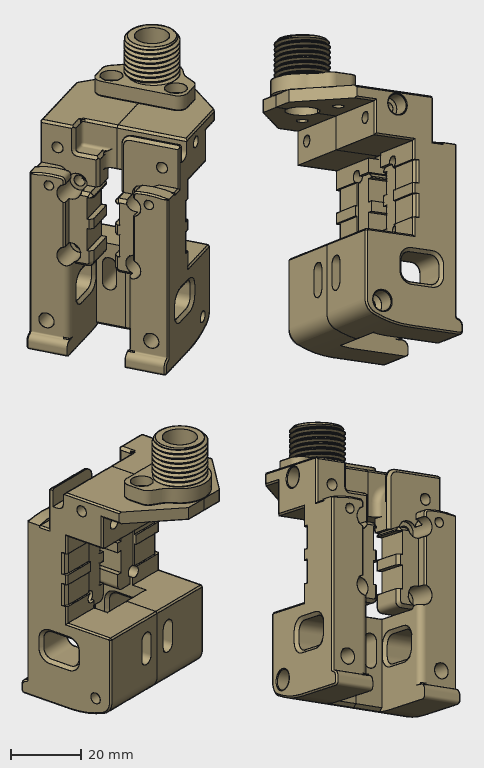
import cadquery as cq
import math


half_width = 21.6
top_z = 68.75
plate_bottom_z = 65.0
head_bottom_z = 55.0
base_top_z = 27.2
plate_back_y = 8.7
head_back_y = -11.2
spine_back_y = -24.0
base_back_y = -8.2
edge_chamfer = 0.5
top_chamfer = 0.7

head_front_y = -30.6
outlet_front_y = -29.1
rail_step_y = -33.9
middle_front_y = -35.3
rail_front_y = -38.5
lip_front_y = -40.57

sweep_start_y = -22.9
sweep_radius = 31.0
base_corner_radius = 4.5
lip_round_radius = 2.0
lip_round_z = 2.6
lip_blend_radius = 0.5
lip_bottom_radius = 1.0

corner_start_y = -5.2
corner_end_x = 7.2

gap_half_width = 3.35
gap_back_y = -25.3
gap_fillet = 2.0
mouth_chamfer = 0.9
pad_chamfer = 1.0
channel_half_width = 9.0
base_web_front_y = -19.2
web_chamfer = 1.1
rail_inner_x = 10.6
rail_fillet = 2.0
middle_corner_radius = 1.8

middle_top_z = 50.8
rail_step_z = 55.4
rail_shoulder_x = 16.0
rail_shoulder_radius = 3.4
rail_crown_z = 56.3
rail_crown_x = 15.5
rail_crown_drop = 0.8
rail_top_corner_radius = 1.3

notch_spans = ((32.5, 39.5), (42.6, 49.4))
notch_inner_depth = 1.65
notch_back_depth = 0.6
notch_corner_width = 1.5
notch_corner_mid = (0.5, 0.6)
notch_corner_depth = 1.3

screw_x = 10.0
screw_heights = (31.0, 51.0)
screw_diameter = 3.4
screw_head_diameter = 6.0
screw_seat_y = outlet_front_y
head_hole_x = 16.2
head_hole_z = 61.1
pilot_x = 15.5
pilot_z = 52.75
pilot_diameter = 2.9
foot_hole_x = 16.25
foot_hole_z = 9.4
foot_hole_diameter = 4.7
blind_depth = 10.0
slot_x = 5.0
slot_width = 4.3
slot_length = 10.25
slot_z = 17.5

clamp_screws = ((-18.7, 64.85), (-13.7, 6.55))
clamp_head_depth = 5.4
clamp_head_rim = 6.5
window_y = -26.77
window_z = 17.9
window_length = 12.6
window_height = 8.8
window_radius = 2.9
window_chamfer = 1.0

left_recess_x = 10.9
left_recess_z = 60.35
left_recess_fillet = 0.9

outlet_floor_z = 63.1
outlet_bend_radius = 4.0
outlet_corner_radius = 3.0

flange_thickness = 5.0
flange_half_width = 14.3
flange_front_y = -10.45
flange_nose_radius = 9.0
flange_side_top_y = -1.15
flange_slope = 0.65
flange_corner_radius = 3.0
flange_waist_radius = 6.0
flange_chamfer = 0.5
flange_screw_y = -6.0
flange_screw_diameter = 3.3
flange_head_diameter = 6.5
flange_head_depth = 3.0
bore_diameter = 10.0
thread_length = 12.0
thread_diameter = 16.0
thread_root_diameter = 14.05
thread_pitch = 1.5
thread_crest = 0.2
thread_top_chamfer = 1.0
thread_flank_gap = 0.05
thread_overlap = 0.1

BEYOND = 100.0
SLACK = 0.1


def box(x0, x1, y0, y1, z0, z1):
    """Axis-aligned box between two corners."""
    return cq.Workplane("XY").box(x1 - x0, y1 - y0, z1 - z0, centered=False).translate((x0, y0, z0))


def along_y(sketch, y0, y1):
    """Extrude an XZ outline from y0 (front) back to y1."""
    return sketch.extrude(y0 - y1).translate((0, y0, 0))


def hole_y(x, z, diameter, y0, y1):
    """Cylinder along Y from y0 (front) back to y1."""
    return along_y(cq.Workplane("XZ").center(x, z).circle(diameter / 2), y0, y1)


def polar(centre, radius, angle):
    """Point on a circle at an angle in radians, counter-clockwise from the first axis."""
    return (centre[0] + radius * math.cos(angle), centre[1] + radius * math.sin(angle))


def nearest(point):
    """Selector for the edge whose centre is nearest to a point."""
    return cq.selectors.NearestToPointSelector(point)


def within(low, high):
    """Selector for edges whose centres lie in a box."""
    return cq.selectors.BoxSelector(low, high)


def side_block():
    """Side outline of a half, chamfered round its outer face."""
    run = base_back_y - sweep_start_y
    rise = sweep_radius - math.sqrt(sweep_radius**2 - run**2)
    half_angle = math.asin(run / sweep_radius) / 2
    arc_mid = polar((sweep_start_y, sweep_radius), sweep_radius, half_angle - math.pi / 2)
    round_centre = (lip_front_y + lip_round_radius, lip_round_z)
    blend_y = rail_front_y - lip_blend_radius
    reach = lip_round_radius + lip_blend_radius
    tangent_angle = math.acos((blend_y - round_centre[0]) / reach)
    blend_centre = polar(round_centre, reach, tangent_angle)
    tangent = polar(round_centre, lip_round_radius, tangent_angle)
    round_mid = polar(round_centre, lip_round_radius, (tangent_angle + math.pi) / 2)
    blend_mid = polar(blend_centre, lip_blend_radius, (tangent_angle - math.pi) / 2)
    block = (
        cq.Workplane("YZ")
        .moveTo(lip_front_y, 0)
        .lineTo(sweep_start_y, 0)
        .threePointArc(arc_mid, (base_back_y, rise))
        .lineTo(base_back_y, base_top_z)
        .lineTo(spine_back_y, base_top_z)
        .lineTo(spine_back_y, head_bottom_z)
        .lineTo(head_back_y, head_bottom_z)
        .lineTo(head_back_y, plate_bottom_z)
        .lineTo(plate_back_y, plate_bottom_z)
        .lineTo(plate_back_y, top_z)
        .lineTo(head_front_y, top_z)
        .lineTo(head_front_y, rail_step_z)
        .lineTo(rail_front_y, rail_step_z)
        .lineTo(rail_front_y, blend_centre[1])
        .threePointArc(blend_mid, tangent)
        .threePointArc(round_mid, (lip_front_y, lip_round_z))
        .close()
        .extrude(-half_width)
    )
    corner = nearest((-half_width / 2, base_back_y, rise))
    block = block.edges(corner).fillet(base_corner_radius)
    lip_bottom = nearest((-half_width / 2, lip_front_y, 0))
    block = block.edges(lip_bottom).fillet(lip_bottom_radius)
    base_back_edge = nearest((-half_width / 2, base_back_y, base_top_z))
    block = block.edges(base_back_edge).chamfer(edge_chamfer)
    plan_corner = (
        cq.Workplane("XY", origin=(0, 0, plate_bottom_z))
        .moveTo(-half_width, corner_start_y)
        .lineTo(-half_width, plate_back_y)
        .lineTo(-corner_end_x, plate_back_y)
        .close()
        .extrude(top_z - plate_bottom_z)
    )
    return block.faces("<X").chamfer(edge_chamfer).cut(plan_corner)


def rail_crown():
    """Front strip of the rail, which rises above the step in a shallow arch."""
    arch_end_z = rail_crown_z - rail_crown_drop
    crown = along_y(
        cq.Workplane("XZ")
        .moveTo(-half_width, middle_top_z)
        .lineTo(-half_width, arch_end_z)
        .threePointArc((-rail_crown_x, rail_crown_z), (-rail_inner_x, arch_end_z + edge_chamfer))
        .lineTo(-rail_inner_x, middle_top_z)
        .close(),
        rail_front_y,
        rail_step_y,
    )
    inner_corner = nearest((-rail_inner_x, rail_step_y, rail_crown_z))
    crown = crown.edges(inner_corner).fillet(rail_top_corner_radius)
    return crown.faces("<Y").edges("not(<Z)").chamfer(edge_chamfer)


def rail_shoulder_cut():
    """Space above the middle block and beside the rounded shoulder of the rail."""
    bend_x = -rail_shoulder_x
    bend_z = rail_step_z - rail_shoulder_radius
    wall_x = bend_x + rail_shoulder_radius
    bend_mid = polar((bend_x, bend_z), rail_shoulder_radius, math.pi / 4)
    return along_y(
        cq.Workplane("XZ")
        .moveTo(0, middle_top_z)
        .lineTo(0, rail_step_z)
        .lineTo(bend_x, rail_step_z)
        .threePointArc(bend_mid, (wall_x, bend_z))
        .lineTo(wall_x, middle_top_z)
        .close(),
        lip_front_y,
        head_front_y,
    )


def middle_block():
    """Pad beside the rail that carries two of the screws, its mouth edges chamfered."""
    outer_x = -rail_inner_x - pad_chamfer
    back_y = spine_back_y - pad_chamfer
    pad = box(outer_x, -gap_half_width, middle_front_y, back_y, base_top_z, middle_top_z)
    pad = pad.edges("|Y and >X and <Z").fillet(middle_corner_radius)
    pad = pad.edges("|Y and >X and >Z").chamfer(pad_chamfer)
    return pad.faces("<Y").edges("not(<X)").chamfer(pad_chamfer)


def strap_notches():
    """Strap notches: slots in the inner face and grooves round the back of the spine."""
    notches = cq.Workplane("XY")
    mid_inset, mid_depth = notch_corner_mid
    groove_y = spine_back_y - notch_back_depth
    for z0, z1 in notch_spans:
        inner_x = -gap_half_width - notch_inner_depth
        notches = notches.add(box(inner_x, 0, lip_front_y, spine_back_y, z0, z1))
        groove = (
            cq.Workplane("XY")
            .moveTo(0, groove_y)
            .lineTo(notch_corner_width - half_width, groove_y)
            .lineTo(mid_inset - half_width, groove_y - mid_depth)
            .lineTo(-half_width, groove_y - notch_corner_depth)
            .lineTo(-half_width, spine_back_y)
            .lineTo(0, spine_back_y)
            .close()
            .extrude(z1 - z0)
            .translate((0, 0, z0))
        )
        notches = notches.add(groove)
    return notches.combine()


def front_holes():
    """Screw, pilot and foot holes along Y, and the slot in the base web."""
    cuts = hole_y(-head_hole_x, head_hole_z, screw_diameter, rail_front_y, 0)
    for z in screw_heights:
        cuts = cuts.add(hole_y(-screw_x, z, screw_diameter, rail_front_y, spine_back_y))
        cuts = cuts.add(hole_y(-screw_x, z, screw_head_diameter, rail_front_y, screw_seat_y))
    blind_end_y = rail_front_y + blind_depth
    cuts = cuts.add(hole_y(-pilot_x, pilot_z, pilot_diameter, rail_front_y, blind_end_y))
    cuts = cuts.add(hole_y(-foot_hole_x, foot_hole_z, foot_hole_diameter, rail_front_y, blind_end_y))
    slot = cq.Workplane("XZ").center(-slot_x, slot_z).slot2D(slot_length, slot_width, 90)
    cuts = cuts.add(along_y(slot, rail_front_y, 0))
    return cuts.combine()


def window():
    """Rounded window through the side wall, chamfered on both sides."""
    hole = (
        cq.Workplane("YZ")
        .center(window_y, window_z)
        .rect(window_length, window_height)
        .extrude(channel_half_width - half_width)
        .edges("|X")
        .fillet(window_radius)
        .translate((-channel_half_width, 0, 0))
    )
    for face_x, inward in ((-half_width, 1), (-channel_half_width, -1)):
        mouth = (
            cq.Workplane("YZ")
            .center(window_y, window_z)
            .sketch()
            .rect(window_length + 2 * window_chamfer, window_height + 2 * window_chamfer)
            .vertices()
            .fillet(window_radius + window_chamfer)
            .finalize()
            .extrude(inward * window_chamfer, taper=45)
            .translate((face_x, 0, 0))
        )
        hole = hole.union(mouth)
    return hole


def rail_edge_round():
    """Waste outside the rounded inner edge of the rail, from the lip up to the lower screw."""
    centre_x = -channel_half_width - rail_fillet
    centre_y = rail_front_y + rail_fillet
    bottom_z = lip_round_z + lip_round_radius
    corner = box(centre_x, -channel_half_width, rail_front_y, centre_y, bottom_z, screw_heights[0])
    return corner.cut(cq.Workplane("XY").center(centre_x, centre_y).circle(rail_fillet).extrude(BEYOND))


def rail_edge_bevel():
    """Waste at the bevelled inner edge of the rail, above the lower screw."""
    return (
        cq.Workplane("XY", origin=(-rail_inner_x, rail_front_y, screw_heights[0]))
        .lineTo(-edge_chamfer, 0)
        .lineTo(0, edge_chamfer)
        .close()
        .extrude(middle_top_z - screw_heights[0])
    )


def cut_gap(block):
    """Opening between the halves: through the spine, and a round-cornered throat in the head."""
    block = block.cut(box(-gap_half_width, 0, -BEYOND, 0, base_top_z, head_bottom_z))
    throat = box(-gap_half_width, gap_half_width, -BEYOND, gap_back_y, base_top_z, BEYOND)
    return block.cut(throat.edges("|Z and >Y").fillet(gap_fillet))


def cut_base_channel(block):
    """Channel between the rails in front of the base web, whose lower edge is chamfered."""
    block = block.cut(box(-channel_half_width, 0, -BEYOND, base_web_front_y, 0, base_top_z))
    web_edge = within(
        (-channel_half_width, base_web_front_y - SLACK, -SLACK),
        (0, base_web_front_y + SLACK, base_top_z / 2),
    )
    return block.edges(web_edge).edges("|X and <Z").chamfer(web_chamfer)


def housing_half():
    block = cut_gap(side_block())
    block = cut_base_channel(block)
    block = block.cut(box(-channel_half_width, 0, -BEYOND, spine_back_y, base_top_z, middle_top_z))
    block = block.cut(box(-rail_inner_x, 0, -BEYOND, spine_back_y, screw_heights[0], middle_top_z))
    block = block.union(middle_block())
    block = block.cut(rail_shoulder_cut())
    block = block.cut(rail_edge_round())
    block = block.cut(rail_edge_bevel())
    block = block.union(rail_crown())
    block = block.cut(strap_notches())
    block = block.cut(front_holes())
    return block.cut(window())


def clamp_screw_cuts():
    """Screw holes along X through both halves, with sunk heads in the left half.

    The upper screw has a flat head seat and the lower one a conical seat.
    """
    cuts = cq.Workplane("XY")
    cone_depth = (screw_head_diameter - screw_diameter) / 2
    rim = (clamp_head_rim - screw_head_diameter) / 2
    head_radius = screw_head_diameter / 2
    for (y, z), seat_depth in zip(clamp_screws, (0, cone_depth)):
        cut = (
            cq.Workplane("XY")
            .moveTo(0, 0)
            .lineTo(clamp_head_rim / 2, 0)
            .lineTo(head_radius, rim)
            .lineTo(head_radius, clamp_head_depth)
            .lineTo(screw_diameter / 2, clamp_head_depth + seat_depth)
            .lineTo(screw_diameter / 2, 2 * half_width)
            .lineTo(0, 2 * half_width)
            .close()
            .revolve(360, (0, 0), (0, 1))
            .rotate((0, 0, 0), (0, 0, 1), -90)
            .translate((-half_width, y, z))
        )
        cuts = cuts.add(cut)
    return cuts.combine()


def flange_openings():
    """Bore and screw holes along Z, through the flange and the top plate."""
    screws = [(-screw_x, flange_screw_y), (screw_x, flange_screw_y)]
    plane = cq.Workplane("XY", origin=(0, 0, plate_bottom_z))
    bore = plane.circle(bore_diameter / 2).extrude(BEYOND)
    return bore.union(plane.pushPoints(screws).circle(flange_screw_diameter / 2).extrude(BEYOND))


def front_edges(x0, x1, z0, z1):
    """Selector for edges on the front face of the head whose centres lie within x0..x1 and z0..z1."""
    return within((x0, head_front_y - SLACK, z0), (x1, head_front_y + SLACK, z1))


def top_bevel(x0, x1, face_y):
    """Wedge that bevels the top edge of a front-facing wall."""
    return (
        cq.Workplane("YZ", origin=(x0, face_y, top_z))
        .lineTo(top_chamfer, 0)
        .lineTo(0, -top_chamfer)
        .close()
        .extrude(x1 - x0)
    )


def side_bevel(edge_x, edge_z, width):
    """Wedge along Y that bevels an upper edge of the head, cutting towards -X and down."""
    wedge = (
        cq.Workplane("XZ")
        .moveTo(edge_x, edge_z)
        .lineTo(edge_x - width, edge_z)
        .lineTo(edge_x, edge_z - width)
        .close()
    )
    return along_y(wedge, head_front_y, gap_back_y)


def left_housing():
    recess = box(-left_recess_x, BEYOND, -BEYOND, gap_back_y, left_recess_z, BEYOND)
    floor_corner = recess.edges("|Y and <X and <Z").vals()
    back_edges = recess.edges(">Y").edges("<X or <Z").vals()
    recess = recess.newObject(floor_corner + back_edges).fillet(left_recess_fillet)
    left = housing_half().cut(recess)
    rim_start_x = -left_recess_x - SLACK
    rim_end_x = -gap_half_width + SLACK
    recess_rim = front_edges(rim_start_x, rim_end_x, middle_top_z + SLACK, top_z - SLACK)
    left = left.edges(recess_rim).edges("%LINE").chamfer(mouth_chamfer)
    left = left.cut(top_bevel(-half_width, -left_recess_x, head_front_y))
    left = left.cut(top_bevel(-left_recess_x, 0, gap_back_y))
    left = left.cut(side_bevel(-left_recess_x, top_z, mouth_chamfer))
    return left.cut(side_bevel(-gap_half_width, left_recess_z, mouth_chamfer))


def right_housing():
    bend_x = gap_half_width + outlet_bend_radius
    bend_z = outlet_floor_z - outlet_bend_radius
    bend_mid = polar((bend_x, bend_z), outlet_bend_radius, 3 * math.pi / 4)
    outlet = along_y(
        cq.Workplane("XZ")
        .moveTo(gap_half_width, bend_z)
        .threePointArc(bend_mid, (bend_x, outlet_floor_z))
        .lineTo(BEYOND, outlet_floor_z)
        .lineTo(BEYOND, BEYOND)
        .lineTo(-BEYOND, BEYOND)
        .lineTo(-BEYOND, bend_z)
        .close(),
        outlet_front_y,
        gap_back_y,
    )
    floor_edges = within(
        (gap_half_width - SLACK, gap_back_y - SLACK, bend_z + SLACK),
        (BEYOND, gap_back_y + SLACK, outlet_floor_z + SLACK),
    )
    outlet = outlet.edges(floor_edges).fillet(gap_fillet)
    right = housing_half().mirror("YZ").cut(outlet)
    wall_middle_y = (head_front_y + outlet_front_y) / 2
    wall_corner = nearest((gap_half_width, wall_middle_y, top_z))
    right = right.edges(wall_corner).fillet(outlet_corner_radius)
    rim_end_x = head_hole_x - screw_diameter / 2
    wall_rim = front_edges(gap_half_width - SLACK, rim_end_x, rail_step_z + SLACK, BEYOND)
    right = right.edges(wall_rim).chamfer(mouth_chamfer)
    return right.cut(top_bevel(0, half_width, gap_back_y))


def thread():
    """Thread ridge on its root cylinder, with the top end chamfered."""
    root = thread_root_diameter / 2
    crest = thread_diameter / 2
    rise = thread_length + 2 * thread_pitch
    helix = cq.Wire.makeHelix(thread_pitch, rise, root)
    inside = root - thread_overlap
    half_base = thread_pitch / 2 - thread_flank_gap
    ridge = (
        cq.Workplane("XZ")
        .moveTo(inside, -half_base)
        .lineTo(crest, -thread_crest / 2)
        .lineTo(crest, thread_crest / 2)
        .lineTo(inside, half_base)
        .close()
        .sweep(cq.Workplane(obj=helix), isFrenet=True)
        .translate((0, 0, -thread_pitch))
    )
    envelope = cq.Workplane("XY").circle(crest + SLACK).extrude(thread_length)
    envelope = envelope.faces(">Z").chamfer(thread_top_chamfer + SLACK)
    core = cq.Workplane("XY").circle(root).extrude(thread_length)
    return core.union(ridge.intersect(envelope)).translate((0, 0, top_z + flange_thickness))


def threaded_flange():
    slope_top_y = flange_side_top_y + flange_slope * flange_half_width
    plane = cq.Workplane("XY", origin=(0, 0, top_z))
    lugs = (
        plane.moveTo(-flange_half_width, flange_front_y)
        .lineTo(-flange_half_width, flange_side_top_y)
        .lineTo(0, slope_top_y)
        .lineTo(flange_half_width, flange_side_top_y)
        .lineTo(flange_half_width, flange_front_y)
        .close()
        .extrude(flange_thickness)
    )
    nose = plane.circle(flange_nose_radius).extrude(flange_thickness)
    flange = lugs.union(nose)
    reach = flange_nose_radius
    waist = within((-reach, 0, 0), (reach, reach, BEYOND))
    flange = flange.edges("|Z").edges(waist).fillet(flange_waist_radius)
    flange = flange.edges("|Z and (<X or >X)").fillet(flange_corner_radius)
    flange = flange.faces("<Z").chamfer(flange_chamfer)
    heads = (
        cq.Workplane("XY", origin=(0, 0, top_z + flange_thickness - flange_head_depth))
        .pushPoints([(-screw_x, flange_screw_y), (screw_x, flange_screw_y)])
        .circle(flange_head_diameter / 2)
        .extrude(flange_head_depth)
    )
    return flange.cut(heads).union(thread()).cut(flange_openings())


housing_cuts = clamp_screw_cuts().union(flange_openings())
left = left_housing().cut(housing_cuts)
right = right_housing().cut(housing_cuts)
flange = threaded_flange()

result = cq.Compound.makeCompound([left.val(), right.val(), flange.val()])